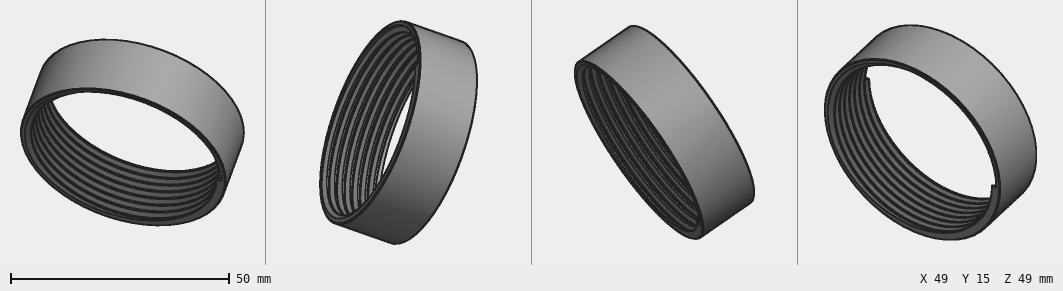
import cadquery as cq

outer_diameter = 49.0
bore_diameter = 47.0
ring_length = 15.0
edge_chamfer = 0.25

turns = 7.5
pitch = ring_length / turns
thread_depth = 1.22
crest_width = pitch / 4
base_width = pitch * 7 / 8
wall_overlap = 0.15

bore_radius = bore_diameter / 2


def make_ring():
    """Plain ring along Z with chamfered outer edges."""
    blank = cq.Workplane("XY").circle(outer_diameter / 2).extrude(ring_length)
    blank = blank.edges("%CIRCLE").chamfer(edge_chamfer)
    bore = cq.Workplane("XY").circle(bore_radius).extrude(ring_length)
    return blank.cut(bore)


def make_thread():
    """Helical ridge, centred on each end face and trimmed to the ring length."""
    crest_radius = bore_radius - thread_depth
    buried_radius = bore_radius + wall_overlap
    buried_width = base_width + wall_overlap * (base_width - crest_width) / thread_depth
    corners = [
        (crest_radius, -crest_width / 2),
        (buried_radius, -buried_width / 2),
        (buried_radius, buried_width / 2),
        (crest_radius, crest_width / 2),
    ]
    helices = [
        cq.Wire.makeHelix(pitch, ring_length, radius).translate(cq.Vector(0, 0, height))
        for radius, height in corners
    ]
    faces = [
        cq.Face.makeRuledSurface(helices[i - 1].Edges()[0], helices[i].Edges()[0])
        for i in range(len(helices))
    ]
    for position in (0, 1):
        section = [helix.positionAt(position) for helix in helices]
        faces.append(cq.Face.makeFromWires(cq.Wire.makePolygon(section, close=True)))
    ridge = cq.Workplane(cq.Solid.makeSolid(cq.Shell.makeShell(faces)))
    envelope = cq.Workplane("XY").circle(outer_diameter / 2).extrude(ring_length)
    return ridge.intersect(envelope)


result = (
    make_ring()
    .union(make_thread())
    .rotate((0, 0, 0), (1, 0, 0), -90)
    .translate((0, -ring_length / 2, 0))
)